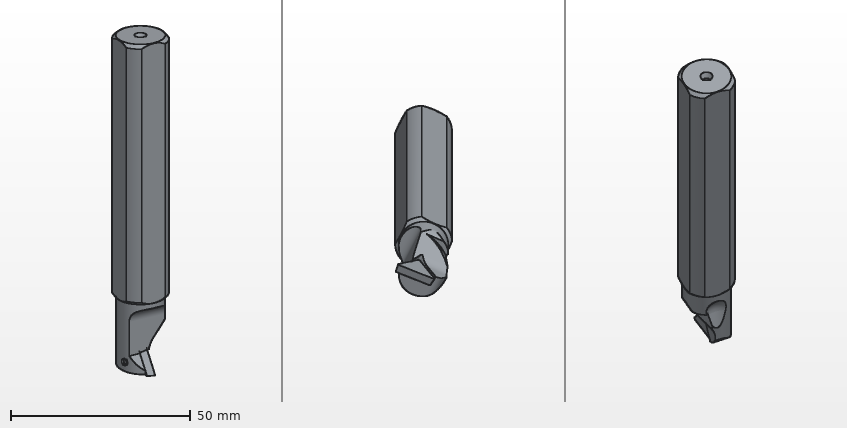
import cadquery as cq
import math

TOTAL_LENGTH = 100.0
SHANK_FLATS = 14.0
SHANK_RADIUS = 8.0
SHANK_BOTTOM = 21.6
END_FACE_RADIUS = 6.9
END_CHAMFER_HEIGHT = 1.0

CENTRE_COUNTERSINK_DIAMETER = 3.4
CENTRE_COUNTERSINK_DEPTH = 1.5
CENTRE_PILOT_DIAMETER = 1.7
CENTRE_PILOT_DEPTH = 3.5
CENTRE_PILOT_TIP_ANGLE = 118

NECK_RADIUS = 6.9
CUT_REACH = 12.0

INSERT_THICKNESS = 2.4
INSERT_EDGE = 12.0
INSERT_RELIEF_ANGLE = 7
NOSE_RADIUS = 0.4
TIP_X = 7.8
END_EDGE_ANGLE = 5
CORNER_ANGLE = 50

PIN_X = 2.1
PIN_Z = 3.6
PIN_DIAMETER = 2.0
PIN_END_Y = -6.3
PIN_CHAMFER = 0.2

EDGE_OVERHANG = 0.4
HEEL_TOP = 4.5
HEEL_ANGLE = 55
HEEL_RADIUS = 3.0

GULLET_FACE_X = 3.6
GULLET_RADIUS = 4.0
GULLET_ARC_Z = 16.1

RAMP_ANGLE = 38
RAMP_TOP_Z = 17.6
RAMP_TOP_RADIUS = 5.0
RAMP_BOTTOM_RADIUS = 6.0
RAMP_FLOOR_Y = 0.6

CLEARANCE_TOP = 14.7
CLEARANCE_RADIUS = 16.0
CLEARANCE_X = 4.6
CLEARANCE_Y = -9.8

GROOVE_RADIUS = 5.0
GROOVE_TILT = 18
GROOVE_BALL_X = -10.1
GROOVE_BALL_Z = 15.5
GROOVE_LENGTH = 15.0


def direction(angle):
    """Unit vector in the XZ plane, as (x, z), at an angle from +X."""
    return math.cos(math.radians(angle)), math.sin(math.radians(angle))


END_EDGE = direction(180 - END_EDGE_ANGLE)
FLANK_EDGE = direction(180 - END_EDGE_ANGLE - CORNER_ANGLE)
TIP_BISECTOR = direction(180 - END_EDGE_ANGLE - CORNER_ANGLE / 2)
NOSE_SETBACK = NOSE_RADIUS / math.sin(math.radians(CORNER_ANGLE / 2))
SHARP_TIP_X = TIP_X - NOSE_RADIUS - NOSE_SETBACK * TIP_BISECTOR[0]
SHARP_TIP_Z = NOSE_RADIUS - NOSE_SETBACK * TIP_BISECTOR[1]


def from_sharp_tip(step, distance):
    """Point at a distance from the sharp tip, along a direction in the XZ plane."""
    return SHARP_TIP_X + distance * step[0], SHARP_TIP_Z + distance * step[1]


def insert_outline():
    """Rounded triangle of the insert's top face, drawn on the plane Y = 0."""
    triangle = (
        cq.Sketch()
        .polygon([from_sharp_tip(END_EDGE, 0), from_sharp_tip(FLANK_EDGE, INSERT_EDGE),
                  from_sharp_tip(END_EDGE, INSERT_EDGE), from_sharp_tip(END_EDGE, 0)])
        .vertices()
        .fillet(NOSE_RADIUS)
    )
    return cq.Workplane("XZ").placeSketch(triangle)


def make_insert():
    """Triangular plate that narrows towards -Y, with its locking pin."""
    plate = insert_outline().extrude(INSERT_THICKNESS, taper=INSERT_RELIEF_ANGLE)
    pin = (
        cq.Workplane("XZ")
        .center(PIN_X, PIN_Z)
        .circle(PIN_DIAMETER / 2)
        .extrude(-PIN_END_Y)
        .faces("<Y")
        .chamfer(PIN_CHAMFER)
    )
    return plate.union(pin)


def make_shank():
    length = TOTAL_LENGTH - SHANK_BOTTOM
    turned = (
        cq.Workplane("XY", origin=(0, 0, SHANK_BOTTOM))
        .circle(SHANK_RADIUS)
        .extrude(length)
        .faces("<Z or >Z")
        .chamfer(END_CHAMFER_HEIGHT, SHANK_RADIUS - END_FACE_RADIUS)
    )
    square = (
        cq.Workplane("XY", origin=(0, 0, SHANK_BOTTOM))
        .rect(SHANK_FLATS, SHANK_FLATS)
        .extrude(length)
    )
    return turned.intersect(square)


def make_centre_drilling():
    mouth_radius = CENTRE_COUNTERSINK_DIAMETER / 2
    pilot_radius = CENTRE_PILOT_DIAMETER / 2
    tip_depth = pilot_radius / math.tan(math.radians(CENTRE_PILOT_TIP_ANGLE / 2))
    return (
        cq.Workplane("XZ", origin=(0, 0, TOTAL_LENGTH))
        .polyline([(0, 0), (mouth_radius, 0), (pilot_radius, -CENTRE_COUNTERSINK_DEPTH),
                   (pilot_radius, -CENTRE_PILOT_DEPTH), (0, -CENTRE_PILOT_DEPTH - tip_depth)])
        .close()
        .revolve(360, (0, 0, 0), (0, 1, 0))
    )


def make_neck():
    """Round neck with its lower end shaped to the insert's edges and a slanted, rounded heel."""
    overhang_setback = EDGE_OVERHANG / math.sin(math.radians(CORNER_ANGLE / 2))
    tip_x, tip_z = from_sharp_tip(TIP_BISECTOR, overhang_setback)
    end_slope = math.tan(math.radians(END_EDGE_ANGLE))
    heel_slope = math.tan(math.radians(HEEL_ANGLE))
    heel_x = (HEEL_TOP - heel_slope * NECK_RADIUS - tip_z - end_slope * tip_x) / (heel_slope - end_slope)
    heel_z = tip_z + end_slope * (tip_x - heel_x)
    heel_outer_z = heel_z + heel_slope * (heel_x + CUT_REACH)
    flank_top_z = tip_z + (tip_x - GULLET_FACE_X) * FLANK_EDGE[1] / -FLANK_EDGE[0]
    profile = (
        cq.Workplane("XZ")
        .moveTo(heel_x, heel_z)
        .lineTo(tip_x, tip_z)
        .lineTo(GULLET_FACE_X, flank_top_z)
        .lineTo(GULLET_FACE_X, GULLET_ARC_Z)
        .radiusArc((GULLET_FACE_X + GULLET_RADIUS, GULLET_ARC_Z + GULLET_RADIUS), GULLET_RADIUS)
        .lineTo(CUT_REACH, GULLET_ARC_Z + GULLET_RADIUS)
        .lineTo(CUT_REACH, SHANK_BOTTOM)
        .lineTo(-CUT_REACH, SHANK_BOTTOM)
        .lineTo(-CUT_REACH, heel_outer_z)
        .close()
        .extrude(CUT_REACH, both=True)
        .edges(cq.selectors.NearestToPointSelector((heel_x, 0, heel_z)))
        .fillet(HEEL_RADIUS)
    )
    return cq.Workplane("XY").circle(NECK_RADIUS).extrude(SHANK_BOTTOM).intersect(profile)


def make_ramp_cut():
    """Everything on the +Y side of the ramp: convex arc, straight slope, concave arc, floor."""
    cos_ramp = math.cos(math.radians(RAMP_ANGLE))
    sin_ramp = math.sin(math.radians(RAMP_ANGLE))
    slope_top_y = NECK_RADIUS - RAMP_TOP_RADIUS * (1 - cos_ramp)
    slope_top_z = RAMP_TOP_Z - RAMP_TOP_RADIUS * sin_ramp
    slope_bottom_y = RAMP_FLOOR_Y + RAMP_BOTTOM_RADIUS * (1 - cos_ramp)
    slope_bottom_z = slope_top_z - (slope_top_y - slope_bottom_y) * cos_ramp / sin_ramp
    floor_z = slope_bottom_z - RAMP_BOTTOM_RADIUS * sin_ramp
    return (
        cq.Workplane("YZ")
        .moveTo(NECK_RADIUS, RAMP_TOP_Z)
        .radiusArc((slope_top_y, slope_top_z), RAMP_TOP_RADIUS)
        .lineTo(slope_bottom_y, slope_bottom_z)
        .radiusArc((RAMP_FLOOR_Y, floor_z), -RAMP_BOTTOM_RADIUS)
        .lineTo(RAMP_FLOOR_Y, -CUT_REACH)
        .lineTo(CUT_REACH, -CUT_REACH)
        .lineTo(CUT_REACH, RAMP_TOP_Z)
        .close()
        .extrude(CUT_REACH, both=True)
    )


def make_clearance_cut():
    kept = (
        cq.Workplane("XY")
        .center(CLEARANCE_X, CLEARANCE_Y)
        .circle(CLEARANCE_RADIUS)
        .extrude(CLEARANCE_TOP)
    )
    return cq.Workplane("XY").circle(CUT_REACH).extrude(CLEARANCE_TOP).cut(kept)


def make_groove():
    ball = cq.Workplane("XY").sphere(GROOVE_RADIUS)
    trough = cq.Workplane("XY").circle(GROOVE_RADIUS).extrude(-GROOVE_LENGTH)
    return (
        ball.union(trough)
        .rotate((0, 0, 0), (0, 1, 0), GROOVE_TILT)
        .translate((GROOVE_BALL_X, 0, GROOVE_BALL_Z))
    )


def make_bar(insert):
    neck = make_neck().cut(make_ramp_cut()).cut(make_clearance_cut()).cut(make_groove())
    pin_bore = (
        cq.Workplane("XZ")
        .center(PIN_X, PIN_Z)
        .circle(PIN_DIAMETER / 2)
        .extrude(CUT_REACH)
    )
    opening_above_insert = insert_outline().extrude(-CUT_REACH)
    neck = neck.cut(opening_above_insert).cut(insert).cut(pin_bore)
    return make_shank().union(neck).cut(make_centre_drilling())


insert = make_insert()
bar = make_bar(insert)
result = cq.Compound.makeCompound([bar.val(), insert.val()])